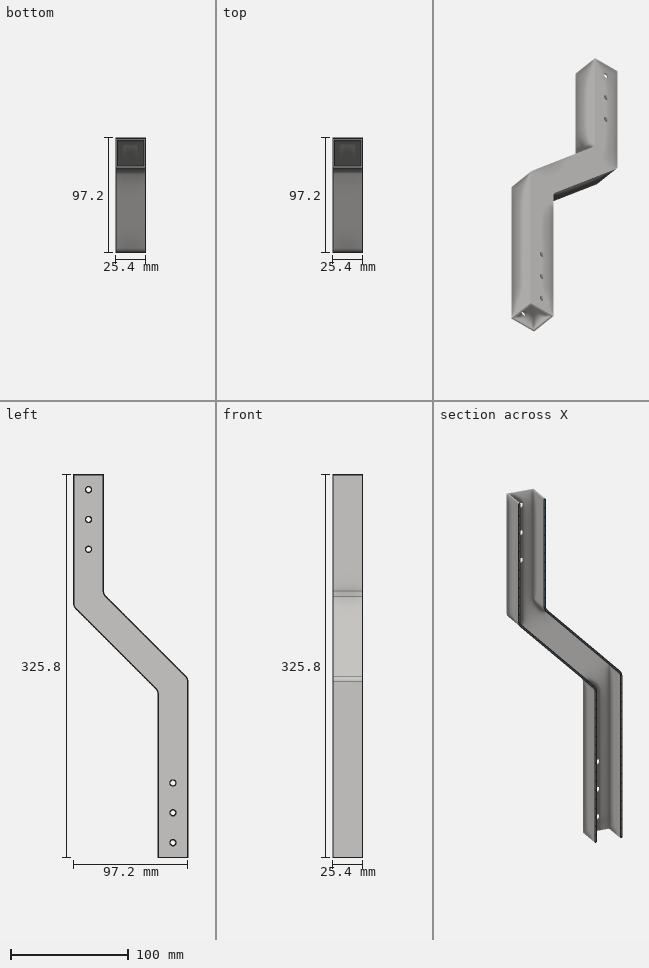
import cadquery as cq
import math

tube_width = 25.4
wall = 1.5875

upper_leg = 101.6
diagonal_leg = 101.6
lower_leg = 152.4
bend_angle = math.radians(45)
bend_radius = 6.35

hole_diameter = 4.98
hole_pitch = 25.4
hole_end_distance = 12.7
holes_per_row = 3

offset = diagonal_leg * math.sin(bend_angle)
rise = diagonal_leg * math.cos(bend_angle)
total_height = upper_leg + rise + lower_leg
lower_bend_z = lower_leg
upper_bend_z = lower_leg + rise


def bent_bar(half_width, convex_radius, concave_radius):
    """Solid square bar from foot to top, following the double bend.

    convex_radius rounds the convex bend corners and concave_radius the concave ones.
    """
    front_face = -half_width
    back_face = half_width
    mitre_slope = math.tan(bend_angle / 2)
    front_shift = (half_width - tube_width / 2) * mitre_slope
    back_shift = (half_width + tube_width / 2) * mitre_slope
    bar = (
        cq.Workplane("YZ")
        .moveTo(front_face, 0)
        .lineTo(back_face, 0)
        .lineTo(back_face, lower_bend_z - back_shift)
        .lineTo(back_face + offset, upper_bend_z - back_shift)
        .lineTo(back_face + offset, total_height)
        .lineTo(front_face + offset, total_height)
        .lineTo(front_face + offset, upper_bend_z + front_shift)
        .lineTo(front_face, lower_bend_z + front_shift)
        .close()
        .extrude(half_width, both=True)
    )

    def bend_edge(y, z):
        return cq.selectors.NearestToPointSelector((0, y, z))

    convex_corners = [
        (front_face, lower_bend_z + front_shift),
        (back_face + offset, upper_bend_z - back_shift),
    ]
    concave_corners = [
        (back_face, lower_bend_z - back_shift),
        (front_face + offset, upper_bend_z + front_shift),
    ]
    for y, z in convex_corners:
        bar = bar.edges(bend_edge(y, z)).fillet(convex_radius)
    for y, z in concave_corners:
        bar = bar.edges(bend_edge(y, z)).fillet(concave_radius)
    return bar


def hole_row(y, first_z, step):
    """Cylinders along X for one row of cross holes."""
    centres = [(y, first_z + i * step) for i in range(holes_per_row)]
    return (
        cq.Workplane("YZ")
        .pushPoints(centres)
        .circle(hole_diameter / 2)
        .extrude(tube_width, both=True)
    )


outer_bar = bent_bar(tube_width / 2, bend_radius, bend_radius)
bore = bent_bar(tube_width / 2 - wall, bend_radius - wall, bend_radius + wall)
tube = outer_bar.cut(bore)

lower_holes = hole_row(0, hole_end_distance, hole_pitch)
upper_holes = hole_row(offset, total_height - hole_end_distance, -hole_pitch)

result = tube.cut(lower_holes).cut(upper_holes)